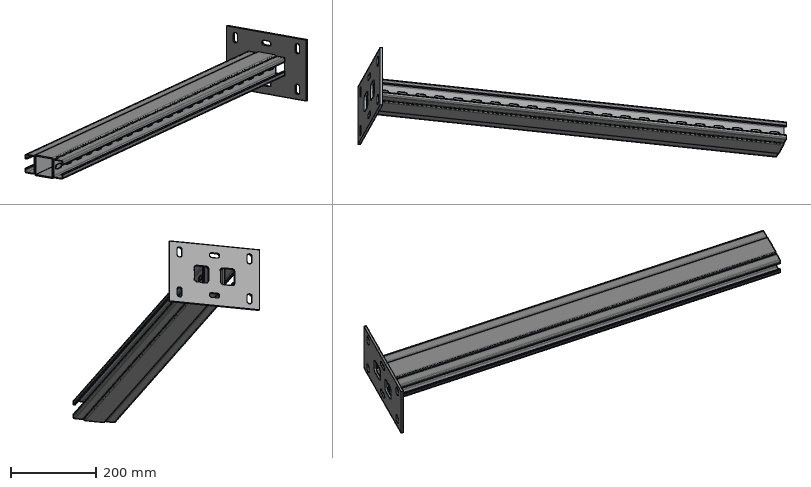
import cadquery as cq

total_length = 996.0
plate_width = 220.0
plate_height = 149.0
plate_thickness = 6.0
beam_length = total_length - plate_thickness

fixing_slot_length = 25.0
fixing_slot_width = 12.0
corner_slot_x = 86.0
fixing_slot_z = 50.0
upright = 90

opening_inner_x = 14.0
opening_outer_x = 50.0
opening_width = opening_outer_x - opening_inner_x
opening_height = 42.0
opening_corner_radius = 8.0

tube_side = 51.0
tube_wall = 3.0
tube_corner_radius = 3.0

channel_height = 46.0
channel_depth = 27.0
channel_wall = 2.0
channel_corner_radius = 4.5
channel_back_x = tube_side / 2
channel_front_x = channel_back_x + channel_depth
mouth_height = 22.0
lip_return = 5.0
lip_edge_radius = 3.0

web_slot_count = 22
web_slot_pitch = beam_length / web_slot_count
web_slot_length = 25.0
web_slot_width = 11.0


def bar(center_x, width, height, length):
    """Rectangular bar running from the plate's front face at y = 0 toward -Y."""
    return cq.Workplane("XZ").center(center_x, 0).rect(width, height).extrude(length)


def fixing_slots(points, angle):
    """Round-ended slots through the plate at the given (x, z) points."""
    return (
        cq.Workplane("XZ")
        .pushPoints(points)
        .slot2D(fixing_slot_length, fixing_slot_width, angle)
        .extrude(-plate_thickness)
    )


def make_plate():
    """Wall plate with six fixing slots and two cable openings."""
    plate = bar(0, plate_width, plate_height, -plate_thickness)
    slot_rows = (-fixing_slot_z, fixing_slot_z)
    corner_points = [(x, z) for x in (-corner_slot_x, corner_slot_x) for z in slot_rows]
    middle_points = [(0, z) for z in slot_rows]
    plate = plate.cut(fixing_slots(corner_points, upright)).cut(fixing_slots(middle_points, 0))

    for side in (-1, 1):
        opening_x = side * (opening_inner_x + opening_outer_x) / 2
        opening = bar(opening_x, opening_width, opening_height, -plate_thickness)
        plate = plate.cut(opening.edges("|Y").fillet(opening_corner_radius))
    return plate


def make_tube():
    """Open square tube with rounded outer corners."""
    outside = bar(0, tube_side, tube_side, beam_length).edges("|Y").fillet(tube_corner_radius)
    bore_side = tube_side - 2 * tube_wall
    return outside.cut(bar(0, bore_side, bore_side, beam_length))


def make_channel_profile():
    """Channel on the +X side of the tube, with its mouth facing +X and no web slots."""
    middle_x = (channel_back_x + channel_front_x) / 2
    outside = bar(middle_x, channel_depth, channel_height, beam_length)
    outside = outside.edges("|Y").fillet(channel_corner_radius)
    cavity_depth = channel_depth - 2 * channel_wall
    cavity_height = channel_height - 2 * channel_wall
    cavity = bar(middle_x, cavity_depth, cavity_height, beam_length)
    cavity = cavity.edges("|Y").fillet(channel_corner_radius - channel_wall)

    lip_middle_x = channel_front_x - lip_return / 2
    lips = bar(lip_middle_x, lip_return, mouth_height + 2 * channel_wall, beam_length)
    mouth = bar(lip_middle_x, lip_return, mouth_height, beam_length)
    channel = outside.cut(cavity).union(lips).cut(mouth)
    lip_middle_z = (mouth_height + channel_wall) / 2
    mouth_edges = cq.selectors.BoxSelector(
        (lip_middle_x, -beam_length, -lip_middle_z),
        (channel_front_x + channel_wall, 0, lip_middle_z),
    )
    return channel.edges("|Y").edges(mouth_edges).fillet(lip_edge_radius)


def make_channel(side):
    """Slotted channel on one side of the tube: side is 1 for +X and -1 for -X."""
    slot_points = [(-(i + 0.5) * web_slot_pitch, 0) for i in range(web_slot_count)]
    slots = (
        cq.Workplane("YZ", origin=(channel_back_x, 0, 0))
        .pushPoints(slot_points)
        .slot2D(web_slot_length, web_slot_width)
        .extrude(channel_wall)
    )
    channel = make_channel_profile().cut(slots)
    return channel if side > 0 else channel.mirror("YZ")


plate = make_plate()
tube = make_tube()
channels = [make_channel(side) for side in (-1, 1)]

result = cq.Compound.makeCompound([plate.val(), tube.val(), *[channel.val() for channel in channels]])